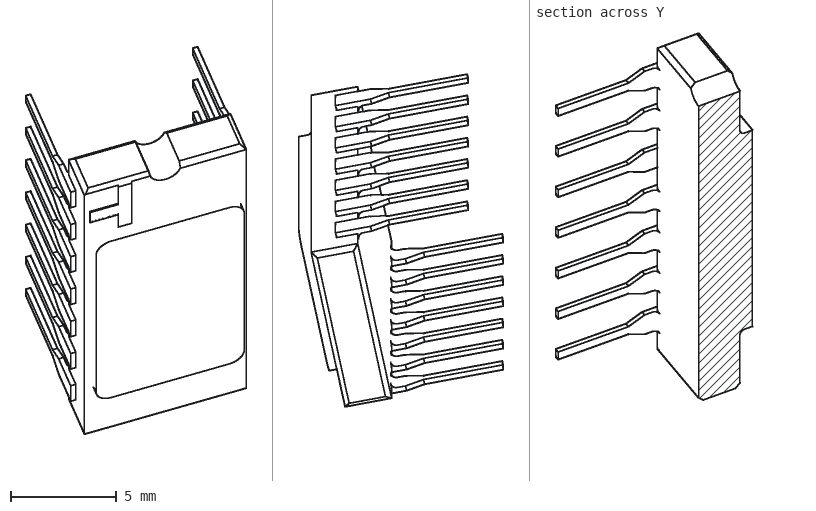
import cadquery as cq
import math


body_thickness = 2.25
body_width = 8.128
body_height = 19.3
end_chamfer = 0.25
notch_radius = 0.78

pin_count_per_side = 7
pin_pitch = 2.54
pin_thickness = 0.254
pin_shoulder_width = 1.22
pin_tip_width = 0.48
pin_overlap = 1.02
pin_shoulder_reach = 0.67
pin_taper_length = 0.87
pin_reach = 5.34
pin_root_radius = 0.27
plain_pin_index = 2

lid_width = 7.44
lid_height = 12.31
lid_rise = 0.67
lid_corner_radius = 0.77
lid_root_radius = 0.25
lid_base_margin = 0.5

trace_thickness = 0.06
trace_inner_y = -1.7
trace_width = 0.68
trace_branch_end_y = -3.8
trace_branch_width = 0.8

body_top = body_height / 2
first_pin_z = pin_pitch * (pin_count_per_side - 1) / 2


def block(x_range, y_range, z_range):
    """Box spanning the given (low, high) ranges."""
    low, high = zip(x_range, y_range, z_range)
    sizes = [end - start for start, end in zip(low, high)]
    return cq.Workplane("XY").box(*sizes, centered=False).translate(low)


def chamfered_slab(thickness):
    """Slab of the body outline with both ends chamfered all round."""
    slab = cq.Workplane("XY").box(thickness, body_width, body_height, centered=(False, True, True))
    return slab.faces("|Z").edges().chamfer(end_chamfer)


def make_trace():
    """Trace strip and its branch, sunk through the body so that they join it."""
    x_range = (0, body_thickness + trace_thickness)
    strip_y = (trace_inner_y - trace_width, trace_inner_y)
    strip = block(x_range, strip_y, (lid_height / 2, body_top))
    branch_z = (first_pin_z - trace_branch_width / 2, first_pin_z + trace_branch_width / 2)
    branch = block(x_range, (trace_branch_end_y, trace_inner_y), branch_z)
    return strip.union(branch)


def make_body():
    """Chamfered slab with the trace; the top chamfer on the trace half is level with the trace."""
    trace_half = block((0, body_thickness), (-body_width / 2, 0), (lid_height / 2, body_top))
    raised_part = chamfered_slab(body_thickness + trace_thickness).intersect(trace_half.union(make_trace()))
    return chamfered_slab(body_thickness).union(raised_part)


def make_notch():
    """Half-round index groove across the top end."""
    groove_length = body_thickness + trace_thickness
    return cq.Workplane("YZ").center(0, body_top).circle(notch_radius).extrude(groove_length)


def make_lid():
    """Rounded lid with a concave fillet round its foot, on a base sunk into the body."""
    base = (
        cq.Workplane("YZ")
        .rect(body_width, lid_height + 2 * lid_base_margin)
        .extrude(body_thickness)
    )
    plate = (
        cq.Workplane("YZ", origin=(body_thickness, 0, 0))
        .rect(lid_width, lid_height)
        .extrude(lid_rise)
        .edges("|X")
        .fillet(lid_corner_radius)
    )
    seated = base.union(plate)
    seat = seated.faces("|X").faces(">X[-2]")
    foot_edges = seat.val().innerWires()[0].Edges()
    return seated.newObject(foot_edges).fillet(lid_root_radius)


def make_pin_blade():
    """Flat pin on the +Y side at Z = 0: shoulder, taper and narrow leg."""
    shoulder = pin_shoulder_width / 2
    tip = pin_tip_width / 2
    taper_end = pin_shoulder_reach + pin_taper_length
    return (
        cq.Workplane("XZ", origin=(0, body_width / 2, 0))
        .polyline([
            (pin_overlap, shoulder),
            (-pin_shoulder_reach, shoulder),
            (-taper_end, tip),
            (-pin_reach, tip),
            (-pin_reach, -tip),
            (-taper_end, -tip),
            (-pin_shoulder_reach, -shoulder),
            (pin_overlap, -shoulder),
        ])
        .close()
        .extrude(-pin_thickness)
    )


def make_pin_root():
    """Concave fillet between the inner face of the +Y pin at Z = 0 and the back of the body."""
    inner_y = body_width / 2
    arc_offset = pin_root_radius * (1 - math.sqrt(0.5))
    return (
        cq.Workplane("XY", origin=(0, 0, -pin_shoulder_width / 2))
        .moveTo(0, inner_y)
        .lineTo(0, inner_y - pin_root_radius)
        .threePointArc((-arc_offset, inner_y - arc_offset), (-pin_root_radius, inner_y))
        .close()
        .extrude(pin_shoulder_width)
    )


def add_pins(body):
    """Place a row of evenly pitched pins on each side of the body."""
    plain_pin = make_pin_blade()
    rooted_pin = plain_pin.union(make_pin_root())
    mirrored_pin = rooted_pin.mirror("XZ")
    for index in range(pin_count_per_side):
        z = first_pin_z - index * pin_pitch
        pin = plain_pin if index == plain_pin_index else rooted_pin
        body = body.union(pin.translate((0, 0, z)))
        body = body.union(mirrored_pin.translate((0, 0, z)))
    return body


result = add_pins(make_body().cut(make_notch()).union(make_lid()))